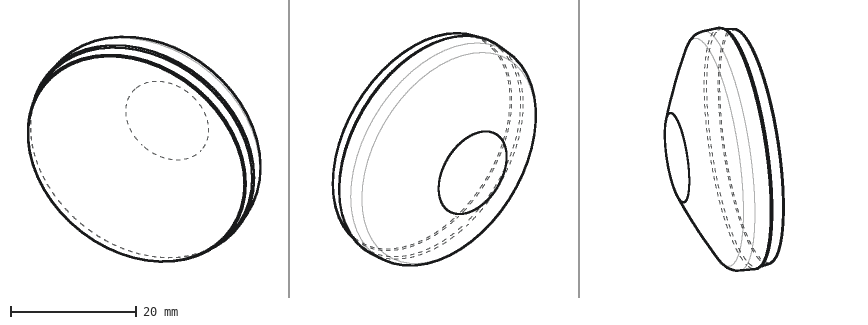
import cadquery as cq
import math

MAX_RADIUS = 19.5
TOTAL_DEPTH = 12.4

COVER_DEPTH = 2.03
COVER_SEAM_RADIUS = 19.25
COVER_RIM_RADIUS = 18.98
COVER_CHAMFER = 0.2

LIP_CHAMFER_DEPTH = 0.35
WALL_END_Y = 4.95
WALL_END_RADIUS = 19.33
SHOULDER_ROUND = 2.0
DOME_START_Y = 6.6
DOME_START_RADIUS = 18.4
BACK_RADIUS = 7.2
DOME_BULGE = 0.2


def revolve_about_y(profile):
    """Turn a closed half profile, drawn as (radius, Y), into a solid."""
    return profile.close().revolve(360, (0, 0, 0), (0, 1, 0))


def make_cover():
    profile = (
        cq.Workplane("XY")
        .lineTo(COVER_RIM_RADIUS - COVER_CHAMFER, 0)
        .lineTo(COVER_RIM_RADIUS, COVER_CHAMFER)
        .lineTo(COVER_SEAM_RADIUS, COVER_DEPTH)
        .lineTo(0, COVER_DEPTH)
    )
    return revolve_about_y(profile)


def make_housing():
    chord_r = DOME_START_RADIUS - BACK_RADIUS
    chord_y = TOTAL_DEPTH - DOME_START_Y
    chord = math.hypot(chord_r, chord_y)
    dome_middle = (
        (DOME_START_RADIUS + BACK_RADIUS) / 2 + DOME_BULGE * chord_y / chord,
        (DOME_START_Y + TOTAL_DEPTH) / 2 + DOME_BULGE * chord_r / chord,
    )
    profile = (
        cq.Workplane("XY")
        .moveTo(0, COVER_DEPTH)
        .lineTo(COVER_SEAM_RADIUS, COVER_DEPTH)
        .lineTo(MAX_RADIUS, COVER_DEPTH + LIP_CHAMFER_DEPTH)
        .lineTo(WALL_END_RADIUS, WALL_END_Y)
        .radiusArc((DOME_START_RADIUS, DOME_START_Y), -SHOULDER_ROUND)
        .threePointArc(dome_middle, (BACK_RADIUS, TOTAL_DEPTH))
        .lineTo(0, TOTAL_DEPTH)
    )
    return revolve_about_y(profile)


cover = make_cover()
housing = make_housing()

result = cq.Compound.makeCompound([cover.val(), housing.val()])